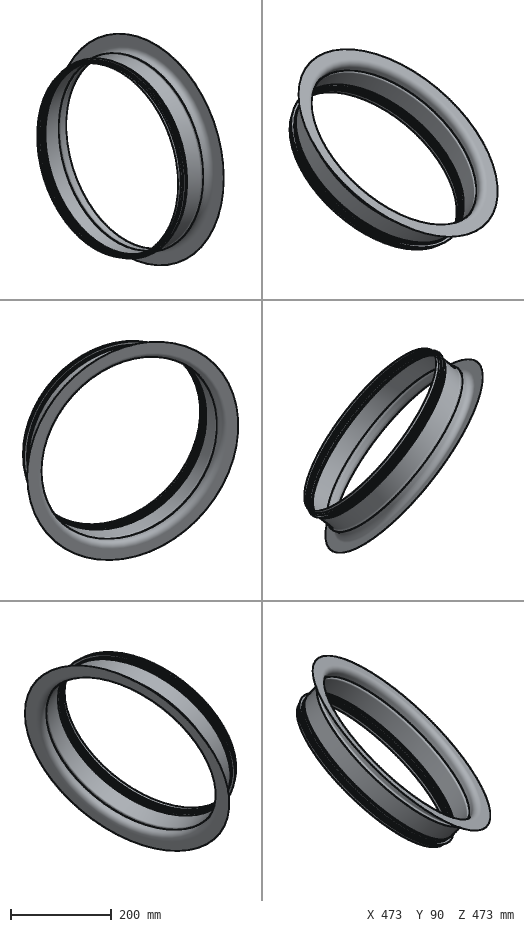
import cadquery as cq
import math

flange_radius = 236.5
length = 90.0
sheet = 0.5
tube_radius = 398.5 / 2 + sheet
flare_radius = 12.0

bead_depth = 25.0
bead_half_width = 4.3
bead_height = 3.5
bead_arc_radius = (bead_half_width**2 + bead_height**2) / (4 * bead_height)
bead_angle = math.asin(bead_half_width / (2 * bead_arc_radius))

floor_radius = 394.0 / 2
groove_start = 65.5
groove_end = 83.5
groove_slope = 2.5
end_bend = 2.0

gasket_start = 70.0
gasket_base_radius = 395.3 / 2
fin_radius = 409.0 / 2
fin_start = 74.0
fin_thickness = 1.5
lip_start = 78.5
lip_crest = 1.5
lip_radius = 201.5
lip_end = groove_end - groove_slope


def polar(center, radius, angle):
    """Point (radius, y) on an arc; the angle is measured from the radial direction."""
    return (center[0] + radius * math.cos(angle), center[1] + radius * math.sin(angle))


def collar_surface(inset):
    """Arcs and lines of the collar surface lying `inset` below its outer surface.

    Runs from the flange rim to the open end. Each segment is a tuple of the points
    after its start: one point for a line, two for an arc.
    """
    tube = tube_radius - inset
    floor = floor_radius - inset
    flare_center = (tube_radius + flare_radius, -sheet - flare_radius)
    flare = flare_radius + inset

    segments = [
        ((flare_center[0], inset - sheet),),
        (polar(flare_center, flare, 0.75 * math.pi), (tube, flare_center[1])),
    ]

    foot = bead_arc_radius + inset
    crest = bead_arc_radius - inset
    foot_radius = tube_radius + bead_arc_radius
    first_center = (foot_radius, bead_half_width - bead_depth)
    last_center = (foot_radius, -bead_half_width - bead_depth)
    crest_center = (tube_radius + bead_height - bead_arc_radius, -bead_depth)
    segments += [
        ((tube, first_center[1]),),
        (polar(first_center, foot, math.pi + bead_angle / 2),
         polar(first_center, foot, math.pi + bead_angle)),
        (polar(crest_center, crest, 0), polar(crest_center, crest, -bead_angle)),
        (polar(last_center, foot, math.pi - bead_angle / 2), (tube, last_center[1])),
    ]

    segments += [
        ((tube, -groove_start),),
        ((floor, -groove_start - groove_slope),),
        ((floor, -groove_end + groove_slope),),
        ((tube, -groove_end),),
    ]

    end_center = (tube_radius - end_bend, end_bend - length)
    segments += [
        ((tube, end_center[1]),),
        (polar(end_center, end_bend - inset, -math.pi / 4),
         polar(end_center, end_bend - inset, -math.pi / 2)),
    ]
    return segments


def draw_segments(profile, segments):
    for points in segments:
        if len(points) == 1:
            profile = profile.lineTo(*points[0])
        else:
            profile = profile.threePointArc(*points)
    return profile


def reverse_segments(start, segments):
    """The same segments drawn from their last point back to `start`."""
    ends = [start] + [points[-1] for points in segments]
    backward = []
    for begin, points in zip(ends, segments):
        backward.append(points[:-1] + (begin,))
    return backward[::-1]


def revolve_about_y(profile):
    return profile.close().revolve(360, (0, 0, 0), (0, 1, 0))


def make_collar():
    outer = collar_surface(0)
    inner = collar_surface(sheet)
    profile = cq.Workplane("XY").moveTo(flange_radius, -sheet)
    profile = draw_segments(profile, outer)
    profile = profile.lineTo(*inner[-1][-1])
    profile = draw_segments(profile, reverse_segments((flange_radius, 0), inner))
    return revolve_about_y(profile)


def make_gasket():
    """Sealing ring on the groove floor, with a tall thin fin and a lower sloping lip."""
    fin_end = fin_start + fin_thickness
    profile = cq.Workplane("XY").polyline([
        (floor_radius, -gasket_start),
        (gasket_base_radius, -gasket_start),
        (gasket_base_radius, -fin_start),
        (fin_radius, -fin_start),
        (fin_radius, -fin_end),
        (gasket_base_radius, -fin_end),
        (gasket_base_radius, -lip_start),
        (lip_radius, -lip_start),
        (lip_radius, -lip_start - lip_crest),
        (floor_radius, -lip_end),
    ])
    return revolve_about_y(profile)


collar = make_collar()
gasket = make_gasket()

result = cq.Compound.makeCompound([collar.val(), gasket.val()])